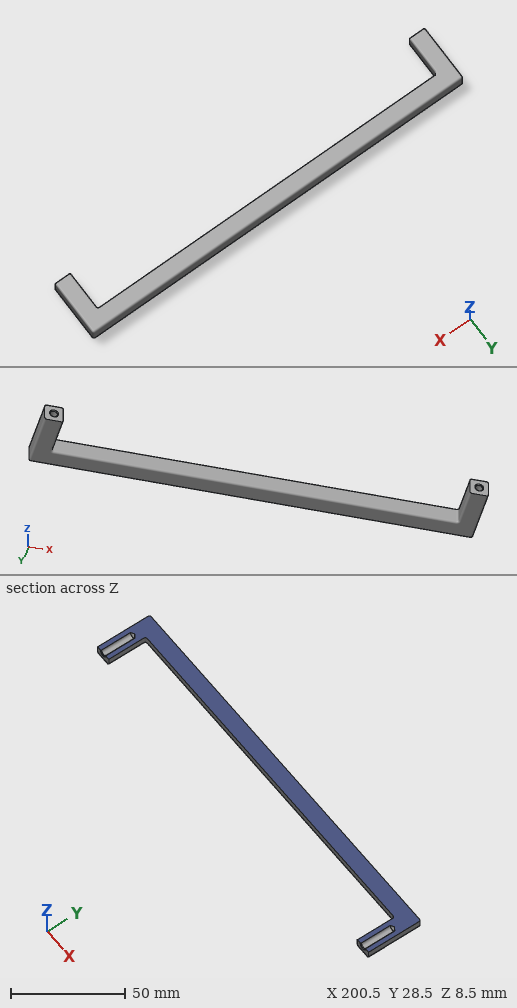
import cadquery as cq

length = 200.5
depth = 28.5
bar_size = 8.5
edge_radius = 1.0
inner_corner_radius = 1.0

hole_diameter = 3.2
hole_depth = 16.0
hole_tip_depth = 1.0
countersink_diameter = 4.0
countersink_depth = (countersink_diameter - hole_diameter) / 2
leg_centre = (length - bar_size) / 2


def handle_body():
    """U-shaped bar with rounded edges and flat, square-edged leg ends."""
    body = cq.Workplane("XY").box(length, depth, bar_size, centered=(True, False, True))
    opening = cq.Workplane("XY").box(
        length - 2 * bar_size, depth - bar_size, bar_size, centered=(True, False, True)
    )
    body = body.cut(opening)

    inner_corners = cq.selectors.BoxSelector(
        (-length / 2 + bar_size / 2, bar_size, -bar_size),
        (length / 2 - bar_size / 2, depth - bar_size / 2, bar_size),
    )
    body = body.edges("|Z").edges(inner_corners).fillet(inner_corner_radius)

    outer_verticals = body.edges("|Z and >Y")
    leg_end_edges = body.faces("<Y").edges().vals()
    rims = body.faces("<Z or >Z").edges()
    rounded_edges = [
        edge
        for edge in rims.add(outer_verticals).vals()
        if not any(edge.isSame(end_edge) for end_edge in leg_end_edges)
    ]
    return body.newObject(rounded_edges).fillet(edge_radius)


def mounting_hole(centre_x):
    """Revolved cutter: countersink, straight bore and conical drill tip."""
    hole_radius = hole_diameter / 2
    return (
        cq.Workplane("XY")
        .lineTo(countersink_diameter / 2, 0)
        .lineTo(hole_radius, countersink_depth)
        .lineTo(hole_radius, hole_depth)
        .lineTo(0, hole_depth + hole_tip_depth)
        .close()
        .revolve(360, (0, 0, 0), (0, 1, 0))
        .translate((centre_x, 0, 0))
    )


result = handle_body()
for side in (-1, 1):
    result = result.cut(mounting_hole(side * leg_centre))